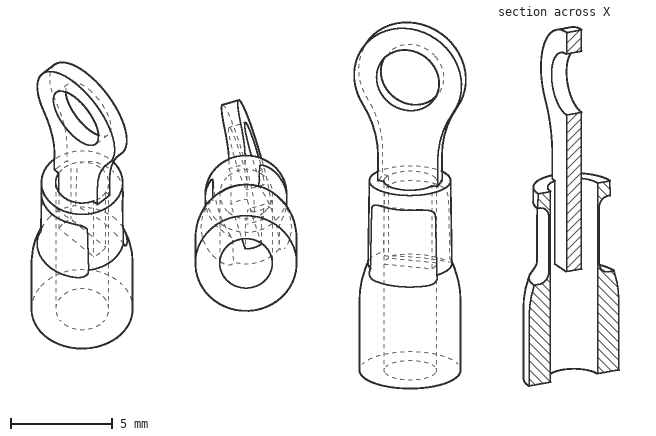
import cadquery as cq
import math

total_height = 18.24
ring_diameter = 5.49
ring_radius = ring_diameter / 2
ring_center_z = total_height - ring_radius
ring_hole_diameter = 3.2
stem_width = 3.05
stem_straight_height = 1.31
plate_thickness = 0.84
tail_depth = 4.38

sleeve_height = 10.03
sleeve_radius = 2.5
neck_top_radius = 2.0
neck_base_radius = 2.07
shoulder_start_z = 3.65
shoulder_end_z = 5.65
bore_radius = 1.3

dent_bottom_z = 5.27
dent_top_z = 9.25
dent_crown_y = 1.42
dent_floor_radius = 6.2
dent_fillet = 0.5
cutter_half_width = 1.2 * sleeve_radius
cutter_reach = 1.5 * sleeve_radius


def make_tongue():
    """Ring and stem with tangent concave flanks, plus a tail filling the bore width."""
    half_stem = stem_width / 2
    flank_z = sleeve_height + stem_straight_height
    rise = ring_center_z - flank_z

    flank_radius = (half_stem**2 + rise**2 - ring_radius**2) / (2 * (ring_radius - half_stem))
    flank_center_x = half_stem + flank_radius
    flank_angle = math.atan2(rise, flank_center_x)
    ring_join_x = ring_radius * math.cos(flank_angle)
    ring_join_z = ring_center_z - ring_radius * math.sin(flank_angle)
    flank_mid_x = flank_center_x - flank_radius * math.cos(flank_angle / 2)
    flank_mid_z = flank_z + flank_radius * math.sin(flank_angle / 2)

    plate = (
        cq.Workplane("XZ")
        .moveTo(-half_stem, sleeve_height)
        .lineTo(half_stem, sleeve_height)
        .lineTo(half_stem, flank_z)
        .threePointArc((flank_mid_x, flank_mid_z), (ring_join_x, ring_join_z))
        .threePointArc((0, total_height), (-ring_join_x, ring_join_z))
        .threePointArc((-flank_mid_x, flank_mid_z), (-half_stem, flank_z))
        .close()
        .extrude(plate_thickness / 2, both=True)
    )
    hole = (
        cq.Workplane("XZ")
        .center(0, ring_center_z)
        .circle(ring_hole_diameter / 2)
        .extrude(plate_thickness, both=True)
    )

    tail_base = cq.Workplane("XY").workplane(offset=sleeve_height - tail_depth)
    tail = (
        tail_base.rect(stem_width, plate_thickness)
        .extrude(tail_depth)
        .intersect(tail_base.circle(bore_radius).extrude(tail_depth))
    )
    return plate.cut(hole).union(tail)


def make_dent_cutter():
    """Block with a bowed inner face, rounded along its top and bottom inner edges."""
    sagitta = dent_floor_radius - math.sqrt(dent_floor_radius**2 - cutter_half_width**2)
    floor_side_y = dent_crown_y - sagitta
    return (
        cq.Workplane("XY")
        .workplane(offset=dent_bottom_z)
        .moveTo(-cutter_half_width, floor_side_y)
        .threePointArc((0, dent_crown_y), (cutter_half_width, floor_side_y))
        .lineTo(cutter_half_width, cutter_reach)
        .lineTo(-cutter_half_width, cutter_reach)
        .close()
        .extrude(dent_top_z - dent_bottom_z)
        .edges("%CIRCLE")
        .fillet(dent_fillet)
    )


def make_sleeve():
    """Revolved sleeve with a rounded shoulder, through bore and two opposite dents."""
    shoulder_drop = sleeve_radius - neck_base_radius
    shoulder_height = shoulder_end_z - shoulder_start_z

    sleeve = (
        cq.Workplane("XZ")
        .moveTo(bore_radius, 0)
        .lineTo(sleeve_radius, 0)
        .lineTo(sleeve_radius, shoulder_start_z)
        .tangentArcPoint((-shoulder_drop, shoulder_height))
        .lineTo(neck_top_radius, sleeve_height)
        .lineTo(bore_radius, sleeve_height)
        .close()
        .revolve(360, (0, 0, 0), (0, 1, 0))
    )
    cutter = make_dent_cutter()
    for turn in (0, 180):
        sleeve = sleeve.cut(cutter.rotate((0, 0, 0), (0, 0, 1), turn))
    return sleeve


tongue = make_tongue()
sleeve = make_sleeve()
result = cq.Compound.makeCompound([tongue.val(), sleeve.val()])